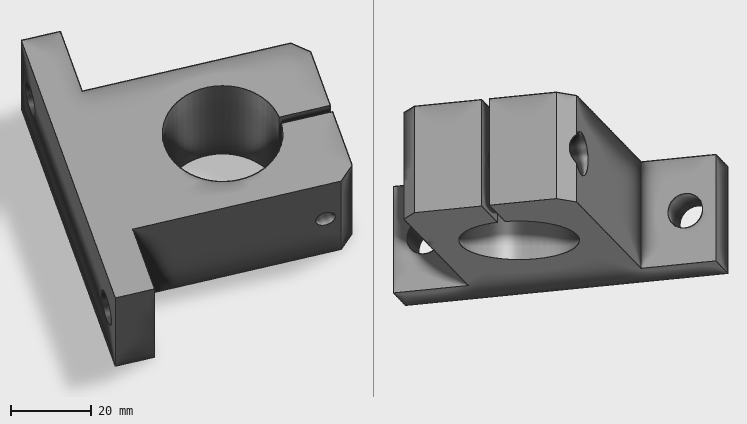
import cadquery as cq

width = 84.0
height = 68.2
thickness = 28.0

flange_height = 10.2
mount_hole_diameter = 9.0
mount_hole_spacing = 68.0

block_width = 45.0
corner_chamfer = 4.0
bore_diameter = 30.0
bore_height = 40.0
slot_width = 2.0

screw_height = height - 8.1
screw_head_diameter = 11.0
screw_head_depth = 10.0
clearance_diameter = 6.7
thread_diameter = 5.0


def make_body():
    """Flange and upright block, with both upper corners chamfered."""
    flange = cq.Workplane("XY").box(width, flange_height, thickness, centered=(True, False, True))
    block = (
        cq.Workplane("XY")
        .box(block_width, height, thickness, centered=(True, False, True))
        .faces(">Y")
        .edges("|Z")
        .chamfer(corner_chamfer)
    )
    return flange.union(block)


def cut_bore_and_slot(body):
    """Shaft bore through Z, opened to the top of the block by the clamp slot."""
    bore = cq.Workplane("XY").center(0, bore_height).circle(bore_diameter / 2).extrude(thickness / 2, both=True)
    slot_length = height - bore_height
    slot = (
        cq.Workplane("XY")
        .center(0, bore_height + slot_length / 2)
        .rect(slot_width, slot_length)
        .extrude(thickness / 2, both=True)
    )
    return body.cut(bore).cut(slot)


def cut_mount_holes(body):
    """Two plain holes through the flange along Y."""
    holes = (
        cq.Workplane("XZ")
        .pushPoints([(-mount_hole_spacing / 2, 0), (mount_hole_spacing / 2, 0)])
        .circle(mount_hole_diameter / 2)
        .extrude(-flange_height)
    )
    return body.cut(holes)


def screw_bore(diameter, depth):
    """Cylinder on the screw axis, reaching the given depth from the block's -X side."""
    return (
        cq.Workplane("YZ", origin=(-block_width / 2, screw_height, 0))
        .circle(diameter / 2)
        .extrude(depth)
    )


def cut_clamp_screw(body):
    """Head recess, clearance hole up to the slot, and thread hole through the far jaw."""
    steps = [
        (screw_head_diameter, screw_head_depth),
        (clearance_diameter, block_width / 2),
        (thread_diameter, block_width),
    ]
    for diameter, depth in steps:
        body = body.cut(screw_bore(diameter, depth))
    return body


result = make_body()
result = cut_bore_and_slot(result)
result = cut_mount_holes(result)
result = cut_clamp_screw(result)